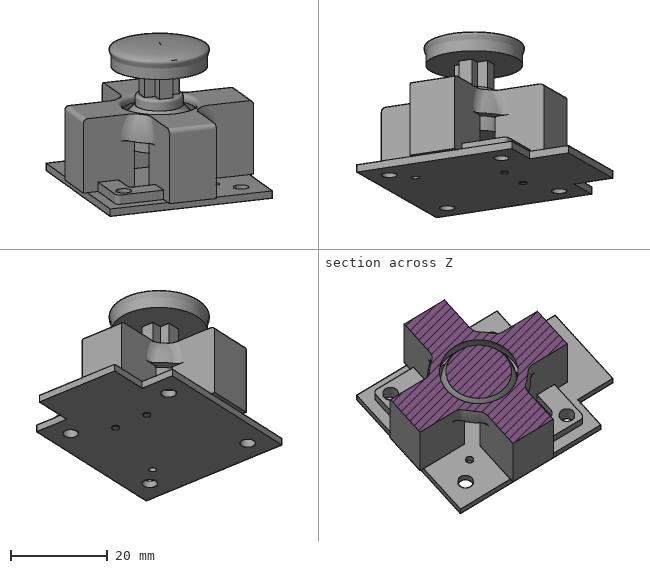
import cadquery as cq
import math


board_side = 36.0
board_thickness = 1.6
tab_length = 9.0
tab_width = 20.0
mount_hole_diameter = 3.2
mount_hole_offset = 13.0
pilot_hole_diameter = 1.6
pilot_hole_offset = 9.0
pin_diameter = 1.6
pin_length = 0.25
pin_x = -9.2
pin_y = 4.15

pad_outer = 15.6
pad_inner = 11.1
pad_thickness = 2.0
pad_corner_radius = 1.0

arm_span = 37.8
arm_width = 10.4
arm_end_round = 1.0
leg_inner = 7.55
dome_base_z = 11.9
housing_top_z = 17.5
dome_radius = 10.7
dome_center_z = dome_base_z
dome_blend_radius = 2.0
cavity_radius = 8.7
throat_radius = 7.7
throat_round = 0.95

boot_radius = 8.0
boot_bottom_z = 9.0
boot_shoulder_z = 11.0
collar_radius = 5.0
collar_top_z = 19.5
collar_round = 0.6
stem_span = 7.7
stem_thickness = 3.0

knob_radius = 10.0
knob_bottom_z = 25.5
knob_band_top_z = 27.5
knob_flare_mid_radius = 10.11
knob_flare_mid_z = 28.2
knob_lip_radius = 10.36
knob_lip_z = 29.0
knob_rim_mid_radius = 10.29
knob_rim_mid_z = 29.33
knob_rim_z = 29.5
knob_crown_shoulder_radius = 9.0
knob_crown_shoulder_z = 30.23
knob_crown_level_radius = 5.0
knob_top_z = 30.52

round_middle = math.sqrt(0.5)


def block(x_min, x_max, y_min, y_max, z_min, z_max):
    """Axis-aligned box between the given limits."""
    return cq.Workplane("XY").box(
        x_max - x_min, y_max - y_min, z_max - z_min, centered=False
    ).translate((x_min, y_min, z_min))


def cross(span, width, z_min, z_max):
    """Plus-shaped prism centred on the stick axis."""
    half_span = span / 2
    half_width = width / 2
    along_x = block(-half_span, half_span, -half_width, half_width, z_min, z_max)
    return along_x.union(along_x.rotate((0, 0, 0), (0, 0, 1), 90))


def ball(radius):
    """Sphere about the centre of the dome."""
    return cq.Workplane("XY").sphere(radius).translate((0, 0, dome_center_z))


def make_board():
    half = board_side / 2
    board = block(-half, half, -half, half, 0, board_thickness)
    tab = block(-half - tab_length, -half, -tab_width / 2, tab_width / 2, 0, board_thickness)
    pins = (
        cq.Workplane("XY")
        .pushPoints([(pin_x, pin_y), (pin_x, -pin_y)])
        .circle(pin_diameter / 2)
        .extrude(-pin_length)
    )
    return board.union(tab).union(pins)


def make_corner_pad():
    """L-shaped pad in the +X, -Y corner, with both legs ending under the arms."""
    leg_end = arm_width / 2
    pad = (
        cq.Workplane("XY")
        .workplane(offset=board_thickness)
        .moveTo(leg_end, -pad_outer)
        .lineTo(pad_outer, -pad_outer)
        .lineTo(pad_outer, -leg_end)
        .lineTo(pad_inner, -leg_end)
        .lineTo(pad_inner, -pad_inner)
        .lineTo(leg_end, -pad_inner)
        .close()
        .extrude(pad_thickness)
    )
    corner_limit = (leg_end + pad_inner) / 2
    corners = cq.selectors.BoxSelector(
        (corner_limit, -corner_limit, 0), (arm_span / 2, -arm_span / 2, housing_top_z)
    )
    return pad.edges("|Z").edges(corners).fillet(pad_corner_radius)


def cut_board_holes(body):
    drill_length = board_thickness + pad_thickness
    mount_holes = (
        cq.Workplane("XY")
        .rect(2 * mount_hole_offset, 2 * mount_hole_offset, forConstruction=True)
        .vertices()
        .circle(mount_hole_diameter / 2)
        .extrude(drill_length)
    )
    pilot_hole = (
        cq.Workplane("XY")
        .center(pilot_hole_offset, pilot_hole_offset)
        .circle(pilot_hole_diameter / 2)
        .extrude(drill_length)
    )
    return body.cut(mount_holes).cut(pilot_hole)


def make_throat():
    """Round opening in the housing top, with a rounded lip."""
    lip_bottom_z = housing_top_z - throat_round
    lip_outer = throat_radius + throat_round
    lip_mid = lip_outer - throat_round * round_middle
    lip_mid_z = lip_bottom_z + throat_round * round_middle
    return (
        cq.Workplane("XZ")
        .moveTo(0, dome_center_z)
        .lineTo(throat_radius, dome_center_z)
        .lineTo(throat_radius, lip_bottom_z)
        .threePointArc((lip_mid, lip_mid_z), (lip_outer, housing_top_z))
        .lineTo(0, housing_top_z)
        .close()
        .revolve(360, (0, 0, 0), (0, 1, 0))
    )


def make_housing():
    half_span = arm_span / 2
    slab = block(-half_span, half_span, -half_span, half_span, dome_base_z, housing_top_z)
    dome = ball(dome_radius).intersect(slab)
    housing = cross(arm_span, arm_width, dome_base_z, housing_top_z).union(dome)

    quarter_height = (housing_top_z - dome_base_z) / 4
    seams = cq.selectors.BoxSelector(
        (-dome_radius, -dome_radius, dome_base_z + quarter_height),
        (dome_radius, dome_radius, housing_top_z - quarter_height),
    )
    housing = housing.edges(seams).fillet(dome_blend_radius)

    end_edges = housing.faces(">X or <X or >Y or <Y").edges(">Z")
    housing = end_edges.fillet(arm_end_round)

    cavity = ball(cavity_radius).intersect(slab)
    return housing.cut(cavity).cut(make_throat())


def make_legs():
    """Four blocks that carry the arms on the board."""
    core = block(-leg_inner, leg_inner, -leg_inner, leg_inner, board_thickness, dome_base_z)
    return cross(arm_span, arm_width, board_thickness, dome_base_z).cut(core)


def make_boot():
    """Turned boot: a short cylinder, a spherical dome and the rounded collar at its top."""
    collar_bottom_z = boot_shoulder_z + math.sqrt(boot_radius**2 - collar_radius**2)
    dome_mid_angle = math.acos(collar_radius / boot_radius) / 2
    dome_mid = boot_radius * math.cos(dome_mid_angle)
    dome_mid_z = boot_shoulder_z + boot_radius * math.sin(dome_mid_angle)
    collar_flat = collar_radius - collar_round
    round_mid = collar_flat + collar_round * round_middle
    round_mid_z = collar_top_z - collar_round * (1 - round_middle)
    return (
        cq.Workplane("XZ")
        .moveTo(0, boot_bottom_z)
        .lineTo(boot_radius, boot_bottom_z)
        .lineTo(boot_radius, boot_shoulder_z)
        .threePointArc((dome_mid, dome_mid_z), (collar_radius, collar_bottom_z))
        .lineTo(collar_radius, collar_top_z - collar_round)
        .threePointArc((round_mid, round_mid_z), (collar_flat, collar_top_z))
        .lineTo(0, collar_top_z)
        .close()
        .revolve(360, (0, 0, 0), (0, 1, 0))
    )


def make_knob():
    """Turned knob: a straight band, a flared rim and a shallow crown, level at the middle."""
    flared_rim = [
        (knob_flare_mid_radius, knob_flare_mid_z),
        (knob_lip_radius, knob_lip_z),
        (knob_rim_mid_radius, knob_rim_mid_z),
        (knob_radius, knob_rim_z),
    ]
    crown_controls = [
        (knob_crown_shoulder_radius, knob_crown_shoulder_z),
        (knob_crown_level_radius, knob_top_z),
        (0, knob_top_z),
    ]
    return (
        cq.Workplane("XZ")
        .moveTo(0, knob_bottom_z)
        .lineTo(knob_radius, knob_bottom_z)
        .lineTo(knob_radius, knob_band_top_z)
        .spline(flared_rim, includeCurrent=True)
        .bezier(crown_controls, includeCurrent=True)
        .close()
        .revolve(360, (0, 0, 0), (0, 1, 0))
    )


def make_stick():
    stem = cross(stem_span, stem_thickness, collar_top_z, knob_bottom_z)
    return make_boot().union(stem).union(make_knob())


pad = make_corner_pad()
opposite_pad = pad.rotate((0, 0, 0), (0, 0, 1), 180)
base = cut_board_holes(make_board().union(pad).union(opposite_pad))
result = base.union(make_legs()).union(make_housing()).union(make_stick())